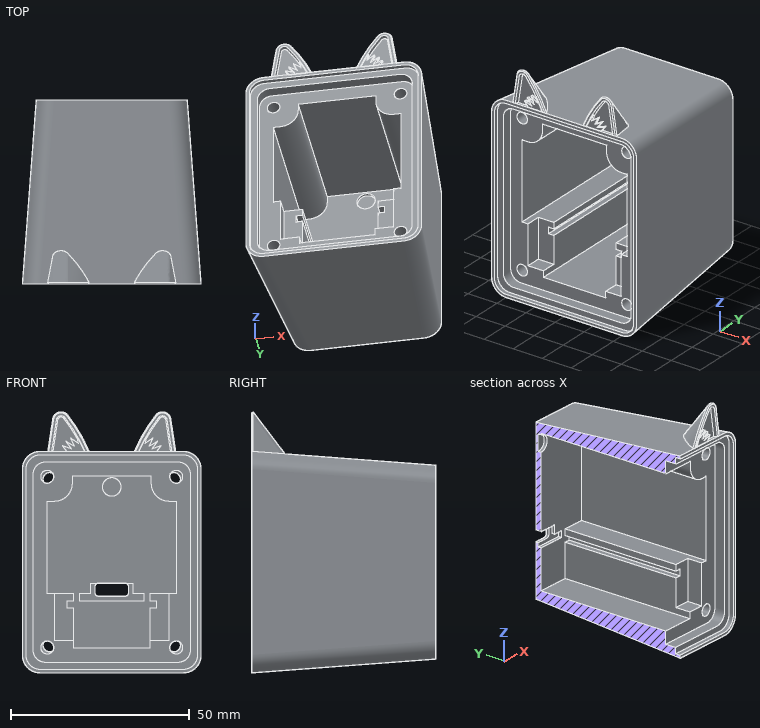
import cadquery as cq

width = 50.0
height = 62.0
depth = 51.5
back_inset = 3.9
corner_radius = 5.05

rim_wall = 1.0
rim_depth = 1.5
ledge_inset = 3.0
ledge_depth = 3.5
ledge_corner_radius = 3.5
floor_y = rim_depth + ledge_depth

back_wall = 2.0
cavity_back_y = depth - back_wall
cavity_half_width = 18.1
cavity_top = 24.1
cavity_bottom = -8.75
boss_inner_x = 11.0
boss_bottom = 17.0
boss_radius = 5.05

channel_half_width = 10.7
channel_bottom = -23.95
groove_half_width = 12.55
groove_top = -10.8
groove_bottom = -12.85
relief_half_width = 16.05
relief_bottom = -21.9
relief_depth = 5.0

pocket_depth = 1.0
pocket_top = -5.9
pocket_neck_half_width = 6.0
pocket_base_half_width = 9.05
plug_half_width = 4.7
plug_bottom = -9.5
plug_corner_radius = 0.95
round_recess_diameter = 5.2
round_recess_z = 21.0

screw_diameter = 3.6
screw_x = 18.1
screw_z = 23.95
screw_lean = 0.7

total_height = 73.0
ear_tip_z = total_height - height / 2
ear_foot_z = 27.75
ear_tip_x = -14.15
ear_outer_foot_x = -18.4
ear_outer_shoulder = (-16.6, 39.65)
ear_inner_shoulder = (-12.2, 40.95)
ear_inner_bulge = (-8.9, 36.1)
ear_inner_foot_x = -5.1
ear_slope = 1.32
ear_length = 10.2
ear_chamfer_inset = 0.3
ear_chamfer_depth = 0.45
face_inset = 1.1
face_floor_inset = 1.45
face_depth = 1.0
fur_height = 0.8
fur_zigzag = [
    (-13.8, ear_foot_z), (-13.8, 30.4), (-12.35, 30.65),
    (-13.8, 32.55), (-11.25, 31.7), (-12.85, 33.8), (-10.45, 32.4),
    (-11.5, 34.75), (-9.35, 33.2), (-9.8, 35.1), (-8.55, 34.1),
]


def block(half_width, z_low, z_high, y_front, y_back):
    """Box centred on X."""
    return (
        cq.Workplane("XY")
        .box(2 * half_width, y_back - y_front, z_high - z_low, centered=(True, False, False))
        .translate((0, y_front, z_low))
    )


def rounded_outline(inset, radius, y):
    """Rounded front outline, moved inward by inset, at the given Y."""
    sketch = cq.Sketch().rect(width - 2 * inset, height - 2 * inset).vertices().fillet(radius)
    return cq.Workplane("XZ", origin=(0, y, 0)).placeSketch(sketch)


def make_shell():
    front = cq.Sketch().rect(width, height).vertices().fillet(corner_radius)
    back = (
        cq.Sketch()
        .rect(width - 2 * back_inset, height - 2 * back_inset)
        .vertices()
        .fillet(corner_radius)
    )
    back = back.moved(cq.Location(cq.Vector(0, 0, -depth)))
    return cq.Workplane("XZ").placeSketch(front, back).loft()


def stepped_opening():
    rim = rounded_outline(rim_wall, corner_radius - rim_wall, 0).extrude(-rim_depth)
    ledge = rounded_outline(ledge_inset, ledge_corner_radius, 0).extrude(-floor_y)
    return rim.union(ledge)


def main_cavity():
    lower = block(cavity_half_width, cavity_bottom, boss_bottom, floor_y, cavity_back_y)
    upper = block(cavity_half_width, boss_bottom, cavity_top, floor_y, cavity_back_y)
    cavity = lower.union(upper)
    boss_width = cavity_half_width - boss_inner_x
    for side in (-1, 1):
        boss = (
            cq.Workplane("XZ", origin=(side * (boss_inner_x + boss_width), floor_y, cavity_top))
            .rect(2 * boss_width, 2 * (cavity_top - boss_bottom))
            .extrude(floor_y - cavity_back_y)
            .edges("|Y")
            .fillet(boss_radius)
        )
        cavity = cavity.cut(boss)
    return cavity


def lower_bay():
    channel = block(channel_half_width, channel_bottom, cavity_bottom, floor_y, cavity_back_y)
    grooves = block(groove_half_width, groove_bottom, groove_top, floor_y, cavity_back_y)
    relief = block(relief_half_width, relief_bottom, cavity_bottom, floor_y, floor_y + relief_depth)
    return channel.union(grooves).union(relief)


def back_wall_cuts():
    pocket_back_y = cavity_back_y + pocket_depth
    neck = block(pocket_neck_half_width, groove_top, pocket_top, cavity_back_y, pocket_back_y)
    base = block(pocket_base_half_width, groove_top, cavity_bottom, cavity_back_y, pocket_back_y)
    plug = (
        block(plug_half_width, plug_bottom, pocket_top, cavity_back_y, depth)
        .edges("|Y")
        .fillet(plug_corner_radius)
    )
    recess = (
        cq.Workplane("XZ", origin=(0, cavity_back_y, round_recess_z))
        .circle(round_recess_diameter / 2)
        .extrude(-pocket_depth)
    )
    return neck.union(base).union(plug).union(recess)


def screw_hole(side_x, side_z):
    circle = cq.Workplane("XZ", origin=(side_x * screw_x, 0, side_z * screw_z)).circle(screw_diameter / 2)
    lean = cq.Vector(-side_x * screw_lean, depth, -side_z * screw_lean)
    return cq.Solid.extrudeLinear(circle.wires().val(), [], lean)


def make_housing(shell):
    body = shell.cut(stepped_opening()).cut(main_cavity()).cut(lower_bay()).cut(back_wall_cuts())
    for side_x in (-1, 1):
        for side_z in (-1, 1):
            body = body.cut(cq.Workplane(screw_hole(side_x, side_z)))
    return body


def ear_outline(inset, y):
    """Closed wire of the left ear, moved inward by inset, at the given Y."""
    outline = (
        cq.Workplane("XZ", origin=(0, y, 0))
        .moveTo(ear_outer_foot_x, ear_foot_z)
        .lineTo(*ear_outer_shoulder)
        .threePointArc((ear_tip_x, ear_tip_z), ear_inner_shoulder)
        .threePointArc(ear_inner_bulge, (ear_inner_foot_x, ear_foot_z))
        .close()
    )
    if inset > 0:
        outline = outline.offset2D(-inset, "intersection")
    return outline.val()


def make_left_ear(shell):
    back_sweep = cq.Vector(0, ear_length, -ear_slope * ear_length)
    rim = ear_outline(0, ear_chamfer_depth)
    prism = cq.Solid.extrudeLinear(rim, [], back_sweep)
    chamfer = cq.Solid.makeLoft([ear_outline(ear_chamfer_inset, 0), rim], True)
    face = cq.Solid.makeLoft(
        [ear_outline(face_inset, 0), ear_outline(face_floor_inset, face_depth)], True
    )
    fur = (
        cq.Workplane("XZ", origin=(0, face_depth, 0))
        .polyline(fur_zigzag + [(ear_inner_foot_x, ear_foot_z)])
        .close()
        .extrude(fur_height)
        .intersect(cq.Workplane(face))
    )
    ear = cq.Workplane(prism).union(cq.Workplane(chamfer))
    ear = ear.cut(cq.Workplane(face)).union(fur)
    return ear.cut(shell)


def make_ear(shell, side):
    """Ear on the left (side -1) or on the right (side 1)."""
    left_ear = make_left_ear(shell)
    return left_ear if side < 0 else left_ear.mirror("YZ")


shell = make_shell()
housing = make_housing(shell)

ears = []
for side in (-1, 1):
    ears.append(make_ear(shell, side).solids().val())

result = cq.Compound.makeCompound([housing.solids().val(), *ears])